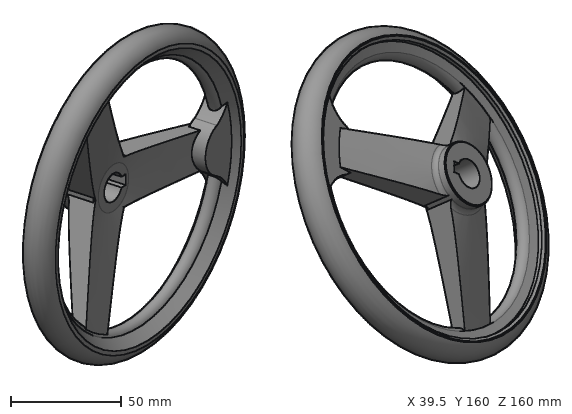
import cadquery as cq
import math

depth = 39.5
outer_radius = 80.0

rim_width = 17.6
rim_edge_radius = 72.8
rim_lip_width = 0.6
recess_radius = 142.5 / 2
recess_chamfer = 1.0
rim_shoulder_radius = 66.5
rim_bore_radius = 64.0
rim_shoulder_front = 26.2
recess_floor = 25.0
rim_throat = 30.0
rim_bead_end = (33.9, 66.5)
rim_front = depth - rim_width
rim_middle = depth - rim_width / 2

hub_radius = 31.0 / 2
hub_back = 19.2
hub_edge_chamfer = 0.5
collar_width = 3.2
bore_radius = 7.0
keyway_reach = 9.6
keyway_width = 5.5

spoke_count = 3
spoke_core_radius = 3.2
spoke_root_radius = 17.6
spoke_root_front = 6.7
front_slope = 0.4
back_slope = 0.26
spoke_core_back = 17.0
spoke_root_half_width = 13.3
spoke_end_half_width = 8.8
spoke_end_radius = 68.8

pad_step_radius = 60.1
pad_thickness = 12.5
pad_nose_radius = 13.8
pad_nose_center = 61.7
pad_outer_radius = 73.6
pad_flank_mid = (63.5, 18.7)
pad_flank_end = (67.7, 28.0)


def spoke_front_at(radius):
    return spoke_root_front + front_slope * (radius - spoke_root_radius)


def spoke_back_at(radius):
    return spoke_core_back + back_slope * (radius - spoke_core_radius)


pad_front = spoke_front_at(pad_step_radius)


def revolve_about_axis(profile):
    """Revolve an (X, Y) profile a full turn about the X axis."""
    return profile.close().revolve(360, (0, 0, 0), (1, 0, 0))


def make_rim():
    profile = (
        cq.Workplane("XY")
        .moveTo(rim_front, rim_edge_radius + rim_lip_width)
        .threePointArc((rim_middle, outer_radius), (depth, rim_edge_radius + rim_lip_width))
        .lineTo(depth, recess_radius)
        .lineTo(*rim_bead_end)
        .threePointArc(
            (rim_throat, rim_bore_radius),
            (rim_shoulder_front, rim_shoulder_radius),
        )
        .lineTo(recess_floor, recess_radius)
        .lineTo(rim_front + recess_chamfer, recess_radius)
        .lineTo(rim_front, rim_edge_radius)
    )
    return revolve_about_axis(profile)


def make_hub():
    return cq.Workplane("YZ").circle(hub_radius).extrude(hub_back).faces("<X").chamfer(hub_edge_chamfer)


def make_spoke_outline():
    """Tapered spoke outline along +Y, extruded through the whole depth."""
    return (
        cq.Workplane("YZ")
        .moveTo(0, -spoke_root_half_width)
        .lineTo(outer_radius, -spoke_end_half_width)
        .lineTo(outer_radius, spoke_end_half_width)
        .lineTo(0, spoke_root_half_width)
        .close()
        .extrude(depth)
    )


def make_spokes():
    """Conical dish with a concave root flare, trimmed to the spoke outlines."""
    arc_drop = 1 - math.sqrt(0.5)
    flare_length = spoke_root_front - collar_width
    flare_rise = spoke_root_radius - hub_radius
    dish_profile = (
        cq.Workplane("XY")
        .moveTo(collar_width, spoke_core_radius)
        .lineTo(collar_width, hub_radius)
        .threePointArc(
            (spoke_root_front - arc_drop * flare_length, hub_radius + arc_drop * flare_rise),
            (spoke_root_front, spoke_root_radius),
        )
        .lineTo(spoke_front_at(spoke_end_radius), spoke_end_radius)
        .lineTo(spoke_back_at(spoke_end_radius), spoke_end_radius)
        .lineTo(spoke_back_at(spoke_core_radius), spoke_core_radius)
    )
    outline = make_spoke_outline()
    outlines = outline
    for index in range(1, spoke_count):
        outlines = outlines.union(outline.rotate((0, 0, 0), (1, 0, 0), index * 360 / spoke_count))
    return revolve_about_axis(dish_profile).intersect(outlines)


def make_handle_pad():
    """Round-nosed pad that spreads out into the rim on both sides."""
    nose_angle = math.radians(110)
    nose_y = pad_nose_center + pad_nose_radius * math.cos(nose_angle)
    nose_z = pad_nose_radius * math.sin(nose_angle)
    mid_y, mid_z = pad_flank_mid
    end_y, end_z = pad_flank_end
    return (
        cq.Workplane("YZ", origin=(pad_front, 0, 0))
        .moveTo(nose_y, nose_z)
        .threePointArc((mid_y, mid_z), (end_y, end_z))
        .threePointArc((pad_outer_radius, 0), (end_y, -end_z))
        .threePointArc((mid_y, -mid_z), (nose_y, -nose_z))
        .threePointArc((pad_nose_center - pad_nose_radius, 0), (nose_y, nose_z))
        .close()
        .extrude(pad_thickness)
    )


def make_bore():
    """Hub bore with a keyway on its +Y side."""
    bore = cq.Workplane("YZ").circle(bore_radius).extrude(depth)
    keyway = cq.Workplane("YZ").center(keyway_reach / 2, 0).rect(keyway_reach, keyway_width).extrude(depth)
    return bore.union(keyway)


spider = make_hub().union(make_spokes()).cut(make_bore())
result = make_rim().union(spider).union(make_handle_pad())